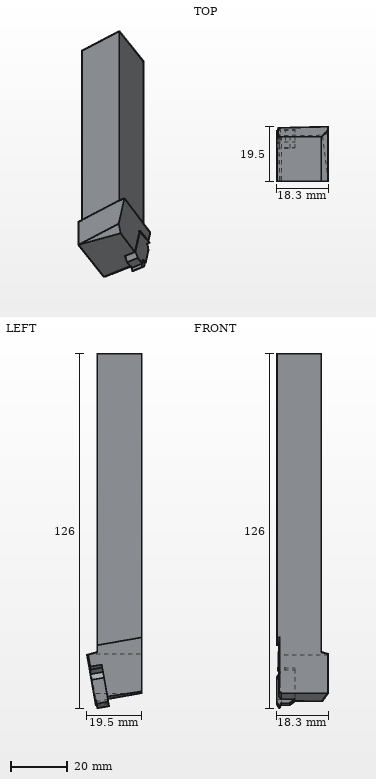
import cadquery as cq
import math


TOTAL_HEIGHT = 125.99
SHANK_SIZE = 15.82
TILT = 10.0
CANT = 1.5

HEAD_WIDTH = 18.19
HEAD_DEPTH = 19.49
LEDGE_HEIGHT = 20.0
LEDGE_SLOPE = 15.0
ROOT_FILLET = 0.4
BOTTOM_FRONT_HEIGHT = 5.4
SIDE_BEVEL = 36.0
LEFT_BEVEL = 0.65
LEFT_RELIEF = 0.9
RELIEF_FRONT_HEIGHT = 25.2

INSERT_FRONT = 11.3
INSERT_BACK = 15.9
RAKE_RELIEF = 0.35

INSERT_OVERHANG = 0.1
INSERT_WIDTH = 6.5
TIP_OFFSET = 0.97
TIP_HALF_ANGLE = 30.0
BOTTOM_EDGE_HEIGHT = 3.9
BOTTOM_EDGE_END = 4.6
SIDE_TOP_HEIGHT = 13.05
NOTCH_HEIGHT = 15.1
NOTCH_DEPTH = 1.3
LIP_OFFSET = 0.4
INSERT_TOP_HEIGHT = 16.7
RAKE_TOP_HEIGHT = 6.1

GAP_TOP_HEIGHT = 18.0
GAP_DEPTH = 3.0

CLEAR = 5.0

tilt_tan = math.tan(math.radians(TILT))
tilt_sin = math.sin(math.radians(TILT))
tilt_cos = math.cos(math.radians(TILT))
cant_tan = math.tan(math.radians(CANT))
ledge_tan = math.tan(math.radians(LEDGE_SLOPE))

ledge_back_height = LEDGE_HEIGHT - (HEAD_DEPTH - SHANK_SIZE) * ledge_tan
back_tilted = HEAD_DEPTH * tilt_cos - ledge_back_height * tilt_sin
head_bottom = BOTTOM_FRONT_HEIGHT * tilt_cos
insert_left = -INSERT_OVERHANG
insert_right = insert_left + INSERT_WIDTH


def tilted_front_plane(depth):
    """Plane square to the leaning thickness direction, at a tilted depth from the origin."""
    normal = cq.Vector(0, tilt_cos, -tilt_sin)
    return cq.Plane(origin=normal * depth, xDir=(1, 0, 0), normal=normal)


def tilted_prism(points, front, back):
    """Extrude an outline of (x, tilted height) points between two tilted depths."""
    outline = [(x, -height) for x, height in points]
    return cq.Workplane(tilted_front_plane(front)).polyline(outline).close().extrude(back - front)


def make_shank():
    height = TOTAL_HEIGHT - LEDGE_HEIGHT / 2
    return (
        cq.Workplane("XY", origin=(0, 0, LEDGE_HEIGHT / 2))
        .rect(SHANK_SIZE, SHANK_SIZE, centered=False)
        .extrude(height)
    )


def make_head():
    """Overlap of a side outline and a front outline; their sloped tops meet in a mitre."""
    ledge_rise = SHANK_SIZE * ledge_tan
    ledge_right_height = LEDGE_HEIGHT - (HEAD_WIDTH - SHANK_SIZE) * ledge_tan

    bottom_back = back_tilted * tilt_cos + head_bottom * tilt_sin
    bottom_back_height = head_bottom * tilt_cos - back_tilted * tilt_sin

    side = (
        cq.Workplane("YZ")
        .moveTo(0, BOTTOM_FRONT_HEIGHT)
        .lineTo(bottom_back, bottom_back_height)
        .lineTo(HEAD_DEPTH, ledge_back_height)
        .lineTo(0, LEDGE_HEIGHT + ledge_rise)
        .close()
        .extrude(HEAD_WIDTH)
    )
    bevel_run = BOTTOM_FRONT_HEIGHT * math.tan(math.radians(SIDE_BEVEL))
    front = (
        cq.Workplane("XZ")
        .lineTo(HEAD_WIDTH - bevel_run, 0)
        .lineTo(HEAD_WIDTH, BOTTOM_FRONT_HEIGHT)
        .lineTo(HEAD_WIDTH, ledge_right_height)
        .lineTo(0, LEDGE_HEIGHT + ledge_rise)
        .close()
        .extrude(-HEAD_DEPTH)
    )
    return side.intersect(front)


def fillet_ledge_root(body):
    """Round the inside corner where the sloping ledge meets the back and right shank faces."""
    reach = ROOT_FILLET / 4
    low = LEDGE_HEIGHT - reach
    high = LEDGE_HEIGHT + reach
    inner = SHANK_SIZE - reach
    outer = SHANK_SIZE + reach
    back_root = cq.selectors.BoxSelector((-reach, inner, low), (outer, outer, high))
    right_root = cq.selectors.BoxSelector((inner, -reach, low), (outer, outer, high))
    root = back_root + right_root
    return body.edges(root).fillet(ROOT_FILLET)


def make_clearance_cutter():
    """Slices the head's left and back faces, each turned by the cant angle."""
    tilted_up = cq.Vector(0, tilt_sin, tilt_cos)
    left_plane = cq.Plane(
        origin=tilted_up * (RELIEF_FRONT_HEIGHT * tilt_cos), xDir=(1, 0, 0), normal=tilted_up
    )
    far_depth = HEAD_DEPTH + CLEAR
    left = (
        cq.Workplane(left_plane)
        .moveTo(-CLEAR, -CLEAR)
        .lineTo(LEFT_RELIEF + CLEAR * cant_tan, -CLEAR)
        .lineTo(LEFT_RELIEF - far_depth * cant_tan, far_depth)
        .lineTo(-CLEAR, far_depth)
        .close()
        .extrude(-TOTAL_HEIGHT / 2)
    )
    back = (
        cq.Workplane(cq.Plane(origin=(0, 0, 0), xDir=(1, 0, 0), normal=tilted_up))
        .moveTo(HEAD_WIDTH, back_tilted)
        .lineTo(0, back_tilted - HEAD_WIDTH * cant_tan)
        .lineTo(0, back_tilted + CLEAR)
        .lineTo(HEAD_WIDTH, back_tilted + CLEAR)
        .close()
        .extrude(LEDGE_HEIGHT + CLEAR)
    )
    return left.union(back)


def make_left_bevel_cutter():
    """Bevel along the lower left edge of the head."""
    reach = LEFT_RELIEF + LEFT_BEVEL
    points = [(0, head_bottom), (reach, head_bottom), (0, head_bottom + reach)]
    return tilted_prism(points, -CLEAR, INSERT_FRONT)


def make_insert_pocket():
    """Room for the insert, open to the left, back and bottom, with the wedge gap above it."""
    points = [
        (-CLEAR, 0),
        (insert_right, 0),
        (insert_right, INSERT_TOP_HEIGHT),
        (GAP_DEPTH, INSERT_TOP_HEIGHT),
        (0, GAP_TOP_HEIGHT),
        (-CLEAR, GAP_TOP_HEIGHT),
    ]
    return tilted_prism(points, INSERT_FRONT, INSERT_BACK + CLEAR)


def make_insert():
    """Grooving insert: a pointed tip below, a notch and a lip in the outer side."""
    tip_back = INSERT_BACK - RAKE_RELIEF
    tip_height = tip_back * tilt_tan
    tip_tan = math.tan(math.radians(TIP_HALF_ANGLE))
    tip_left_height = tip_height + TIP_OFFSET / tip_tan
    tip_right = TIP_OFFSET + (BOTTOM_EDGE_HEIGHT - tip_height) * tip_tan
    profile = [
        (0, tip_left_height),
        (TIP_OFFSET, tip_height),
        (tip_right, BOTTOM_EDGE_HEIGHT),
        (BOTTOM_EDGE_END, BOTTOM_EDGE_HEIGHT),
        (INSERT_WIDTH, head_bottom),
        (INSERT_WIDTH, INSERT_TOP_HEIGHT),
        (LIP_OFFSET, INSERT_TOP_HEIGHT),
        (NOTCH_DEPTH, NOTCH_HEIGHT),
        (0, SIDE_TOP_HEIGHT),
    ]
    points = [(insert_left + offset, height) for offset, height in profile]
    blank = tilted_prism(points, INSERT_FRONT, INSERT_BACK)

    rake_right = insert_left + tip_right
    rake = [(-CLEAR, 0), (rake_right, 0), (rake_right, RAKE_TOP_HEIGHT), (-CLEAR, RAKE_TOP_HEIGHT)]
    return blank.cut(tilted_prism(rake, tip_back, INSERT_BACK + CLEAR))


holder = fillet_ledge_root(make_shank().union(make_head()))
holder = holder.cut(make_clearance_cutter())
holder = holder.cut(make_left_bevel_cutter())
holder = holder.cut(make_insert_pocket())

insert = make_insert()

result = cq.Compound.makeCompound([holder.val(), insert.val()])